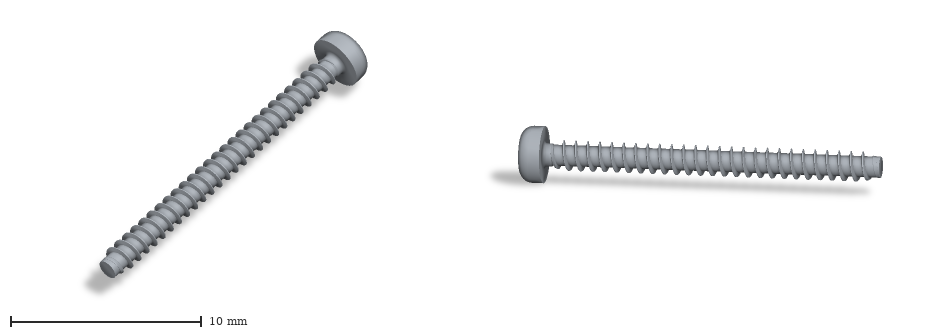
import cadquery as cq
import math


head_radius = 1.5
head_height = 1.2
head_rim_height = 0.6
head_top_radius = 1.1

screw_length = 18.0
neck_radius = 0.61
neck_length = 0.4
neck_fillet = 0.15
neck_taper_length = 0.1
core_radius = 0.55

thread_radius = 0.8
pitch = 0.64
thread_start = 0.24
crest_width = 0.05
flank_angle = math.radians(15)
root_fillet = 0.1
root_embed = 0.05
fillet_sink = 0.005

envelope_clearance = 0.05
run_in_start = 0.3
run_in_end = 0.9
run_out_start = screw_length - 0.85
run_out_end = screw_length - 0.35
run_out_ridge_height = 0.02
tip_ridge_height = 0.01


def make_head():
    """Pan head: a straight rim topped by an arc that leaves it tangentially."""
    rise = head_height - head_rim_height
    inset = head_radius - head_top_radius
    arc_radius = (rise**2 + inset**2) / (2 * inset)
    half_sweep = math.asin(rise / arc_radius) / 2
    arc_mid = (
        head_radius - arc_radius * (1 - math.cos(half_sweep)),
        -head_rim_height - arc_radius * math.sin(half_sweep),
    )
    profile = (
        cq.Workplane("XZ")
        .lineTo(head_radius, 0)
        .lineTo(head_radius, -head_rim_height)
        .threePointArc(arc_mid, (head_top_radius, -head_height))
        .lineTo(0, -head_height)
        .close()
    )
    return profile.revolve(360, (0, 0, 0), (0, 1, 0))


def make_shank():
    """Filleted neck, core and flat tip in one revolved profile."""
    fillet_offset = neck_fillet * (1 - math.sqrt(0.5))
    fillet_mid = (neck_radius + fillet_offset, fillet_offset)
    profile = (
        cq.Workplane("XZ")
        .moveTo(0, -head_rim_height)
        .lineTo(neck_radius + neck_fillet, -head_rim_height)
        .lineTo(neck_radius + neck_fillet, 0)
        .threePointArc(fillet_mid, (neck_radius, neck_fillet))
        .lineTo(neck_radius, neck_length)
        .lineTo(core_radius, neck_length + neck_taper_length)
        .lineTo(core_radius, screw_length)
        .lineTo(0, screw_length)
        .close()
    )
    return profile.revolve(360, (0, 0, 0), (0, 1, 0))


def make_thread_ridge():
    """Helical ridge of full height: sharp root towards the tip, filleted root towards the head."""
    base_radius = core_radius - fillet_sink
    inner_radius = core_radius - root_embed
    half_crest = crest_width / 2
    flank_slope = math.tan(flank_angle)
    half_foot = half_crest + (thread_radius - base_radius) * flank_slope
    half_inner = half_crest + (thread_radius - inner_radius) * flank_slope
    fillet_turn = math.pi / 2 - flank_angle
    fillet_reach = half_foot + root_fillet * math.tan(fillet_turn / 2)

    def fillet_point(angle):
        """(radius, axial position) on the root fillet, measured from its foot."""
        return (
            base_radius + root_fillet * (1 - math.cos(angle)),
            root_fillet * math.sin(angle) - fillet_reach,
        )

    profile = (
        cq.Workplane("XZ", origin=(0, 0, thread_start))
        .moveTo(inner_radius, -fillet_reach)
        .lineTo(*fillet_point(0))
        .threePointArc(fillet_point(fillet_turn / 2), fillet_point(fillet_turn))
        .lineTo(thread_radius, -half_crest)
        .lineTo(thread_radius, half_crest)
        .lineTo(inner_radius, half_inner)
        .close()
    )
    helix_height = screw_length + fillet_reach - thread_start
    helix = cq.Wire.makeHelix(pitch, helix_height, core_radius, cq.Vector(0, 0, thread_start))
    return profile.sweep(cq.Workplane(helix), isFrenet=True)


def make_thread_envelope():
    """Revolved limit that fades the thread in at the neck and out at the tip."""
    outer_radius = thread_radius + envelope_clearance
    profile = (
        cq.Workplane("XZ")
        .moveTo(0, run_in_start)
        .lineTo(core_radius, run_in_start)
        .lineTo(thread_radius, run_in_end)
        .lineTo(outer_radius, run_in_end)
        .lineTo(outer_radius, run_out_start)
        .lineTo(thread_radius, run_out_start)
        .lineTo(core_radius + run_out_ridge_height, run_out_end)
        .lineTo(core_radius + tip_ridge_height, screw_length)
        .lineTo(0, screw_length)
        .close()
    )
    return profile.revolve(360, (0, 0, 0), (0, 1, 0))


thread = make_thread_ridge().intersect(make_thread_envelope())
screw = make_head().union(make_shank()).union(thread)
result = screw.rotate((0, 0, 0), (1, 0, 0), 90)